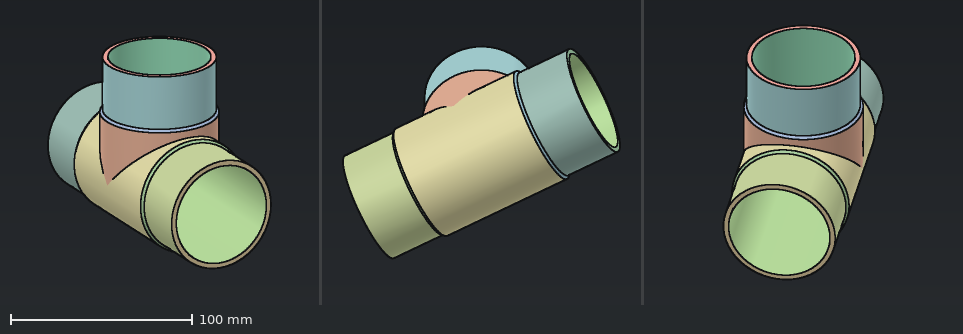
import cadquery as cq

pipe_diameter = 63.0
bore_diameter = 57.0
body_diameter = 66.0
run_length = 140.0
body_length = 78.0

branch_height = run_length / 2
body_branch_height = body_length / 2

bevel = (body_diameter - pipe_diameter) / 2


def run_cylinder(diameter, length):
    """Cylinder along X, centred on the origin."""
    start_plane = cq.Workplane("YZ", origin=(-length / 2, 0, 0))
    return start_plane.circle(diameter / 2).extrude(length)


def branch_cylinder(diameter, height):
    """Cylinder rising along Z from the axis of the run."""
    return cq.Workplane("XY").circle(diameter / 2).extrude(height)


def make_body():
    """Thick central tee with bevelled ends."""
    run = run_cylinder(body_diameter, body_length).faces("<X or >X").chamfer(bevel)
    branch = branch_cylinder(body_diameter, body_branch_height).faces(">Z").chamfer(bevel)
    return run.union(branch)


def make_tee(diameter):
    """Plain tee of one diameter, spanning all three pipe ends."""
    return run_cylinder(diameter, run_length).union(branch_cylinder(diameter, branch_height))


result = make_body().union(make_tee(pipe_diameter)).cut(make_tee(bore_diameter))